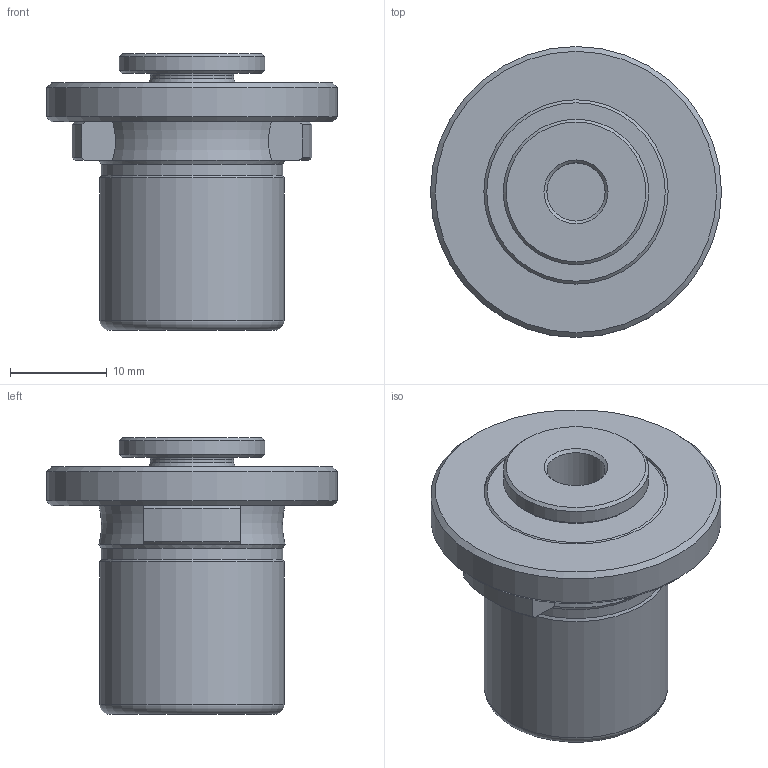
import cadquery as cq

total_height = 28.5
cap_height = 2.0
cap_neck_height = 1.0
flange_height = 4.0
lug_height = 4.0
flange_top = total_height - cap_height - cap_neck_height
flange_bottom = flange_top - flange_height
lug_bottom = flange_bottom - lug_height

flange_radius = 15.0
flange_chamfer = 0.5

body_radius = 9.5
body_bottom_fillet = 1.0
body_top = 15.7
body_edge_height = 0.3
seam_chamfer = 0.3

groove_radius = 9.35
groove_flare_height = 0.4

waist_end_radius = 9.6
waist_middle_radius = 9.33

lug_width = 10.0
lug_radius = 12.4
lug_chamfer = 0.3

cap_radius = 7.5
cap_chamfer = 0.3
neck_radius = 4.3
neck_foot_radius = 4.45
neck_foot_height = 0.4
neck_head_radius = 4.35
neck_head_height = 0.25

bore_radius = 3.0
bore_depth = 10.0
bore_chamfer = 0.3


def revolve_about_z(half_outline):
    """Close an outline drawn in the XZ plane and turn it around the Z axis."""
    return half_outline.close().revolve(360, (0, 0, 0), (0, 1, 0))


def make_disc(radius, bottom, height, chamfer):
    """Disc with both rims chamfered."""
    disc = cq.Workplane("XY").workplane(offset=bottom).circle(radius).extrude(height)
    return disc.faces("<Z or >Z").edges().chamfer(chamfer)


def make_body_and_waist():
    """Body, relief groove and concave waist up to the flange."""
    waist_middle = (flange_bottom + lug_bottom) / 2
    body = revolve_about_z(
        cq.Workplane("XZ")
        .lineTo(body_radius, 0)
        .lineTo(body_radius, body_top)
        .lineTo(groove_radius, body_top + body_edge_height)
        .lineTo(groove_radius, lug_bottom - groove_flare_height)
        .lineTo(waist_end_radius, lug_bottom)
        .threePointArc((waist_middle_radius, waist_middle), (waist_end_radius, flange_bottom))
        .lineTo(0, flange_bottom)
    )
    return body.faces("<Z").edges().fillet(body_bottom_fillet)


def make_lugs():
    """Chamfered disc trimmed to a bar across X, leaving two lugs outside the waist."""
    disc = make_disc(lug_radius, lug_bottom, lug_height, lug_chamfer)
    bar = (
        cq.Workplane("XY")
        .workplane(offset=lug_bottom)
        .rect(2 * flange_radius, lug_width)
        .extrude(lug_height)
    )
    return disc.intersect(bar)


def make_cap_neck():
    """Neck between flange and cap, flared at its foot and at its head."""
    neck_top = flange_top + cap_neck_height
    return revolve_about_z(
        cq.Workplane("XZ")
        .moveTo(0, flange_top)
        .lineTo(neck_foot_radius, flange_top)
        .lineTo(neck_radius, flange_top + neck_foot_height)
        .lineTo(neck_radius, neck_top - neck_head_height)
        .lineTo(neck_head_radius, neck_top)
        .lineTo(0, neck_top)
    )


def make_seam_groove():
    """V groove in the flange top: a chamfer on the body against the flange's straight wall."""
    return revolve_about_z(
        cq.Workplane("XZ")
        .moveTo(body_radius - seam_chamfer, flange_top)
        .lineTo(body_radius, flange_top - seam_chamfer)
        .lineTo(body_radius, flange_top)
    )


def make_bore():
    """Flat-bottomed bore with a chamfered mouth."""
    return revolve_about_z(
        cq.Workplane("XZ")
        .moveTo(0, total_height - bore_depth)
        .lineTo(bore_radius, total_height - bore_depth)
        .lineTo(bore_radius, total_height - bore_chamfer)
        .lineTo(bore_radius + bore_chamfer, total_height)
        .lineTo(0, total_height)
    )


flange = make_disc(flange_radius, flange_bottom, flange_height, flange_chamfer)
cap = make_disc(cap_radius, total_height - cap_height, cap_height, cap_chamfer)

result = (
    make_body_and_waist()
    .union(make_lugs())
    .union(flange)
    .union(make_cap_neck())
    .union(cap)
    .cut(make_seam_groove())
    .cut(make_bore())
)